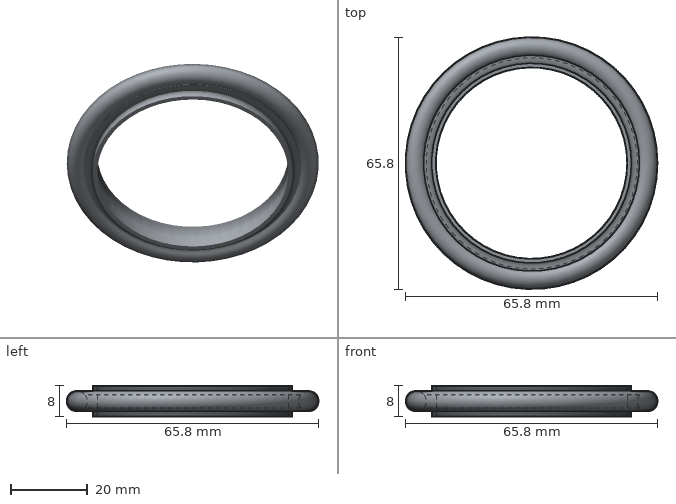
import cadquery as cq

outer_radius = 32.9
cord_diameter = 5.3
bore_radius = 24.95
sleeve_radius = 26.05
sleeve_height = 8.0
flange_radius = 28.15
flange_height = 3.55

cord_radius = cord_diameter / 2
cord_path_radius = outer_radius - cord_radius


def make_o_ring():
    """Round cord closed into a ring."""
    return cq.Workplane("XY").add(cq.Solid.makeTorus(cord_path_radius, cord_radius))


def make_disc(radius, height):
    """Solid disc centred on the origin."""
    return cq.Workplane("XY").workplane(offset=-height / 2).circle(radius).extrude(height)


def make_centering_ring(o_ring):
    """Sleeve with a mid-height flange whose rim is hollowed to seat the O-ring."""
    sleeve = make_disc(sleeve_radius, sleeve_height)
    flange = make_disc(flange_radius, flange_height)
    bore = make_disc(bore_radius, sleeve_height)
    return sleeve.union(flange).cut(bore).cut(o_ring)


o_ring = make_o_ring()
centering_ring = make_centering_ring(o_ring)

result = cq.Compound.makeCompound([centering_ring.val(), o_ring.val()])